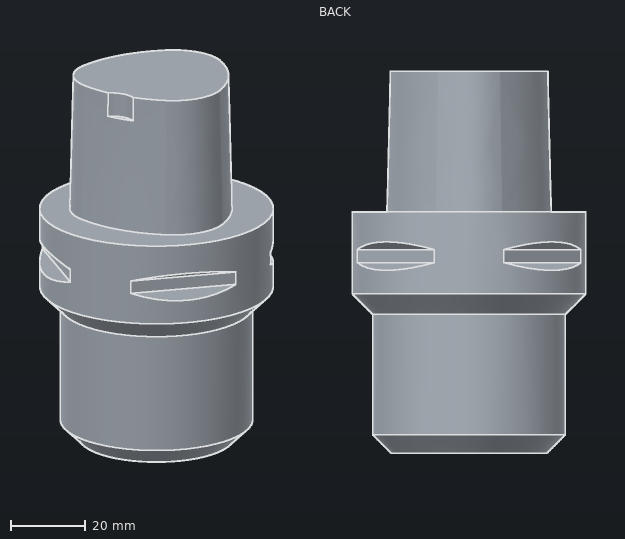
import cadquery as cq
import math

total_height = 103.0
collar_radius = 63.0 / 2
shank_radius = 52.0 / 2
collar_top = 65.1
collar_bottom = 43.0
bottom_chamfer = 5.0

lobe_reach = 23.4
flank_reach = 20.4
lobe_radius = 14.4
taper_angle = 1.4

groove_center = 53.1
groove_floor_height = 3.5
groove_floor_distance = 27.9
groove_flank_angle = 30.0

notch_radius = 6.6
notch_depth = 6.6
notch_inner_y = -18.0


def polar_point(distance, angle):
    return (distance * math.cos(math.radians(angle)), distance * math.sin(math.radians(angle)))


def make_body():
    """Collar and shank, joined by a 45 degree cone."""
    cone_bottom = collar_bottom - (collar_radius - shank_radius)
    profile = [
        (0, 0),
        (shank_radius - bottom_chamfer, 0),
        (shank_radius, bottom_chamfer),
        (shank_radius, cone_bottom),
        (collar_radius, collar_bottom),
        (collar_radius, collar_top),
        (0, collar_top),
    ]
    return cq.Workplane("XZ").polyline(profile).close().revolve(360, (0, 0), (0, 1))


def make_polygon():
    """Tapered section of three lobe arcs and three tangent flank arcs."""
    lobe_offset = lobe_reach - lobe_radius
    radius_gap = flank_reach - lobe_radius
    flank_offset = (lobe_offset**2 - radius_gap**2) / (2 * radius_gap - lobe_offset)
    flank_radius = flank_reach + flank_offset

    half_angle = math.atan2(
        lobe_offset * math.sin(math.radians(60)),
        flank_offset + lobe_offset * math.cos(math.radians(60)),
    )
    joint_x = flank_radius * math.cos(half_angle) - flank_offset
    joint_y = flank_radius * math.sin(half_angle)
    joint_distance = math.hypot(joint_x, joint_y)
    joint_angle = math.degrees(math.atan2(joint_y, joint_x))

    flank_directions = (-90, 30, 150)
    section = cq.Workplane("XY", origin=(0, 0, collar_top))
    section = section.moveTo(*polar_point(joint_distance, flank_directions[0] - joint_angle))
    for direction in flank_directions:
        section = section.threePointArc(
            polar_point(flank_reach, direction),
            polar_point(joint_distance, direction + joint_angle),
        )
        section = section.threePointArc(
            polar_point(lobe_reach, direction + 60),
            polar_point(joint_distance, direction + 120 - joint_angle),
        )
    return section.close().extrude(total_height - collar_top, taper=taper_angle)


def make_groove(direction):
    """Straight groove cutter crossing the collar rim in the given direction."""
    outer_distance = collar_radius + 1.0
    floor_half = groove_floor_height / 2
    rise = (outer_distance - groove_floor_distance) * math.tan(math.radians(groove_flank_angle))
    profile = [
        (groove_floor_distance, groove_center - floor_half),
        (outer_distance, groove_center - floor_half - rise),
        (outer_distance, groove_center + floor_half + rise),
        (groove_floor_distance, groove_center + floor_half),
    ]
    cutter = cq.Workplane("XZ").polyline(profile).close().extrude(collar_radius, both=True)
    return cutter.rotate((0, 0, 0), (0, 0, 1), direction)


def make_notch():
    """Upright round cutter that scallops the flank."""
    notch = cq.Workplane("XY", origin=(0, notch_inner_y - notch_radius, total_height - notch_depth))
    return notch.circle(notch_radius).extrude(notch_depth)


result = make_body().union(make_polygon())
for groove_direction in (45, 135, 225, 315):
    result = result.cut(make_groove(groove_direction))
result = result.cut(make_notch())